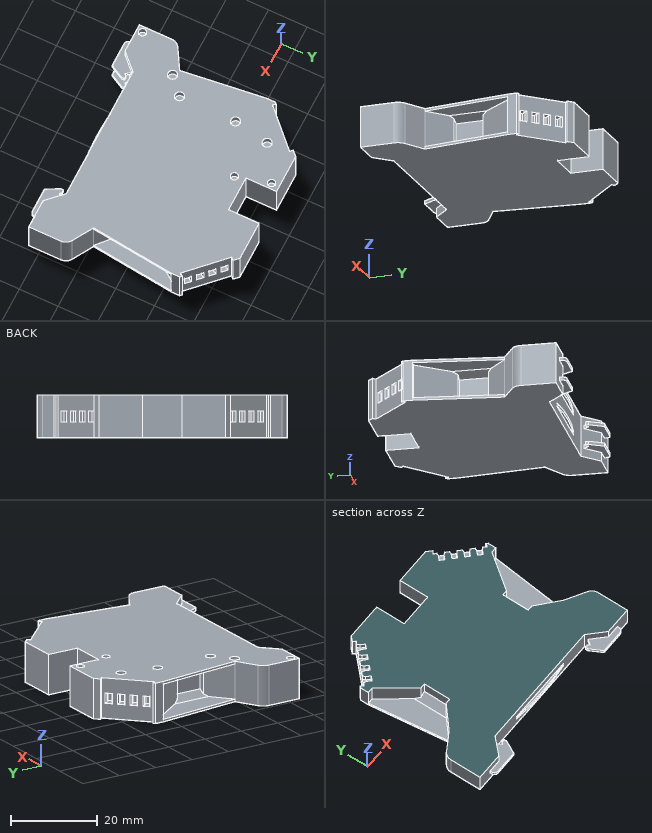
import cadquery as cq

thickness = 10.0
mid_z = thickness / 2
half_width = 29.0
top_y = 47.5
foot_shoulder_y = 9.85
foot_corner_radius = 2.6
waist_x = 22.6
waist_y = 13.6
shoulder_x = 25.1
shoulder_y = 34.9

lower_lip_y = 37.1
lower_lip_tip = (24.65, 37.55)
slope_low = (24.15, 36.8)
slope_high = (15.2, 45.65)
upper_lip_tip = (15.85, 46.25)
top_half_width = 14.65

notch_width = 9.1
notch_depth = 7.9
recess_depth = 4.0
recess_half_width = 17.5

hole_depth = 2.0
small_hole_diameter = 1.9
small_hole_centres = [(-6.0, 45.5), (-3.75, 37.0), (-27.6, 1.5)]
large_hole_diameter = 2.3
large_hole_centres = [(-14.85, 40.0), (-16.55, 31.0), (-16.6, 16.5), (-20.85, 12.6)]

funnel_wall = 0.65
funnel_lip_x = 23.6
funnel_taper_x = 17.8
funnel_back_x = 15.5
funnel_back_wall = 2.0
throat_low_y = 18.65
throat_high_y = 25.8
throat_x = 16.85

slot_count = 4
slot_pitch = 3.0
slot_width = 1.75
slot_height = 2.5
slot_depth = 2.0
slot_lead_in_depth = 0.75
slot_lead_in_step = 0.27
first_slot_offset = 1.72

sheet_thickness = 0.8
layer_inset = 2.15
layer_bottoms = [layer_inset, thickness - layer_inset - sheet_thickness]
claw_outer_x = 25.0
claw_inner_x = 15.95
claw_drop = 1.5
claw_corner_radius = 1.0
claw_heel_x = 17.75
claw_nose_low_y = 1.85
claw_nose_high_y = 2.6
claw_hook_shoulder = (-16.7, claw_nose_high_y)
claw_hook_bottom = (-17.2, 2.15)
claw_root_x = 18.1
claw_root_y = 3.4
bar_half_length = 9.25
bar_sag = 0.7


def mirrored(shape):
    """Return the shape together with its copy on the other side of the YZ plane."""
    return shape.union(shape.mirror("YZ"))


def prism(points, bottom, height):
    return cq.Workplane("XY").workplane(offset=bottom).polyline(points).close().extrude(height)


def make_body():
    right_side = [
        (recess_half_width, recess_depth),
        (recess_half_width + recess_depth, 0),
        (half_width, 0),
        (half_width, foot_shoulder_y),
        (waist_x, waist_y),
        (shoulder_x, shoulder_y),
        (shoulder_x, lower_lip_y),
        lower_lip_tip,
        slope_low,
        slope_high,
        upper_lip_tip,
        (top_half_width, top_y),
        (notch_width / 2, top_y),
        (notch_width / 2, top_y - notch_depth),
    ]
    left_side = [(-x, y) for x, y in reversed(right_side)]
    body = prism(right_side + left_side, 0, thickness)
    for side in (-1, 1):
        corner = cq.selectors.NearestToPointSelector((side * half_width, foot_shoulder_y, mid_z))
        body = body.edges(corner).fillet(foot_corner_radius)
    return body


def make_holes(centres, diameter):
    top_face = cq.Workplane("XY").workplane(offset=thickness - hole_depth)
    return top_face.pushPoints(centres).circle(diameter / 2).extrude(hole_depth)


def make_funnel():
    """Left funnel: its plan outline limited by a floor and roof that close in towards the back."""
    plan = prism(
        [
            (-half_width, waist_y),
            (-waist_x, waist_y),
            (-throat_x, throat_low_y),
            (-funnel_back_x, throat_low_y),
            (-funnel_back_x, throat_high_y),
            (-throat_x, throat_high_y),
            (-funnel_lip_x, shoulder_y),
            (-half_width, shoulder_y),
        ],
        0,
        thickness,
    )
    profile = (
        cq.Workplane("XZ")
        .polyline(
            [
                (-half_width, funnel_wall),
                (-funnel_taper_x, funnel_wall),
                (-funnel_back_x, funnel_back_wall),
                (-funnel_back_x, thickness - funnel_back_wall),
                (-funnel_taper_x, thickness - funnel_wall),
                (-half_width, thickness - funnel_wall),
            ]
        )
        .close()
        .extrude(-top_y)
    )
    return plan.intersect(profile)


def make_marker_slots():
    """Row of slots sunk square into the left sloped face, narrowing just below the mouth."""
    run = slope_low[0] - slope_high[0]
    rise = slope_high[1] - slope_low[1]
    section = cq.Plane(
        origin=(-slope_high[0], slope_high[1], mid_z - slot_height / 2),
        xDir=(-run, -rise, 0),
        normal=(0, 0, 1),
    )
    slots = cq.Workplane(section)
    mouth = slot_width / 2
    neck = mouth - slot_lead_in_step
    for i in range(slot_count):
        centre = first_slot_offset + i * slot_pitch
        outline = [
            (centre - mouth, 0),
            (centre - neck, slot_lead_in_depth),
            (centre - neck, slot_depth),
            (centre + neck, slot_depth),
            (centre + neck, slot_lead_in_depth),
            (centre + mouth, 0),
        ]
        slot = cq.Workplane(section).polyline(outline).close().extrude(slot_height)
        slots = slots.union(slot)
    return slots


def make_claw(bottom):
    """Left rail claw, hooked at its inner end and rooted in the foot."""
    outline = [
        (-claw_outer_x, recess_depth),
        (-claw_outer_x, -claw_drop),
        (-claw_heel_x, -claw_drop),
        (-claw_inner_x, claw_nose_low_y),
        (-claw_inner_x, claw_nose_high_y),
        claw_hook_shoulder,
        claw_hook_bottom,
        (-claw_root_x, claw_root_y),
        (-claw_root_x, recess_depth),
    ]
    corner = cq.selectors.NearestToPointSelector((-claw_outer_x, -claw_drop, bottom + sheet_thickness / 2))
    return prism(outline, bottom, sheet_thickness).edges(corner).fillet(claw_corner_radius)


def make_spring_bar(bottom):
    return (
        cq.Workplane("XY")
        .workplane(offset=bottom)
        .moveTo(-bar_half_length, recess_depth)
        .threePointArc((0, recess_depth - bar_sag), (bar_half_length, recess_depth))
        .close()
        .extrude(sheet_thickness)
    )


result = make_body()
result = result.cut(mirrored(make_funnel()))
result = result.cut(mirrored(make_marker_slots()))
result = result.cut(make_holes(small_hole_centres, small_hole_diameter))
result = result.cut(make_holes(large_hole_centres, large_hole_diameter))
for layer_bottom in layer_bottoms:
    result = result.union(mirrored(make_claw(layer_bottom)))
    result = result.union(make_spring_bar(layer_bottom))